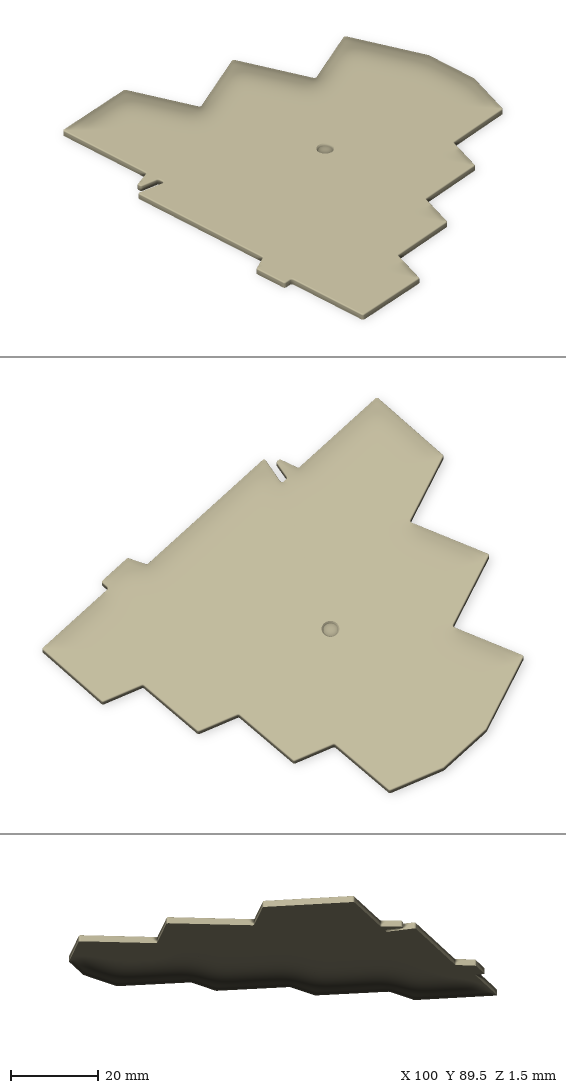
import cadquery as cq
import math

length = 100.0
width = 89.5
thickness = 1.5
corner_radius = 0.5
rim_radius = 0.3

slope = math.radians(20)

right_shoulder_y = 22.0
step_count = 3
step_pitch_x = 29.9 / step_count
step_pitch_y = 62.8 / step_count
riser_lean = 0.3

left_shoulder_y = 33.2
left_treads = (18.7, 20.4)
left_risers = (20.1, 18.0)

left_base_y = 11.7
catch_start_x = 25.6
catch_tip_x = 27.6
catch_tip_y = 7.0
catch_tip_width = 1.2
catch_end_x = 29.3
slot_end_x = 31.1
foot_start_x = 29.3
foot_y = 4.4
tab_start_x = 67.6
tab_left_x = 69.5
tab_right_x = 78.2
right_base_y = 2.4

recess_x = length / 2
recess_y = 46.0
recess_top_diameter = 4.1
recess_floor_diameter = 3.3
recess_depth = 0.5


def left_stairs():
    """Corners of the left staircase, from the left shoulder up to the flat top edge."""
    x, y = 0.0, left_shoulder_y
    corners = [(x, y)]
    for tread, riser in zip(left_treads, left_risers):
        x += tread * math.cos(slope)
        y += tread * math.sin(slope)
        corners.append((x, y))
        x -= riser * math.sin(slope)
        y += riser * math.cos(slope)
        corners.append((x, y))
    corners.append((x + (width - y) / math.tan(slope), width))
    return corners


def right_stairs():
    """Corners of the right staircase, from the flat top edge down to the right shoulder."""
    x = length - step_count * step_pitch_x
    y = right_shoulder_y + step_count * step_pitch_y
    corners = [(x - (width - y) / math.tan(slope), width), (x, y)]
    for _ in range(step_count):
        inner_x = x + riser_lean
        x += step_pitch_x
        y -= step_pitch_y
        inner_y = y + (x - inner_x) * math.tan(slope)
        corners += [(inner_x, inner_y), (x, y)]
    return corners


def bottom_edge():
    """Corners of the bottom edge, from the right end back to the left end."""
    return [
        (length, right_base_y),
        (tab_right_x, right_base_y),
        (tab_right_x, 0),
        (tab_left_x, 0),
        (tab_start_x, foot_y),
        (foot_start_x, foot_y),
        (slot_end_x, left_base_y),
        (catch_end_x, left_base_y),
        (catch_tip_x + catch_tip_width / 2, catch_tip_y),
        (catch_tip_x - catch_tip_width / 2, catch_tip_y),
        (catch_start_x, left_base_y),
        (0, left_base_y),
    ]


def plate():
    """Flat plate with rounded corners and a rounded top rim."""
    outline = left_stairs() + right_stairs() + bottom_edge()
    body = cq.Workplane("XY").polyline(outline).close().extrude(thickness)
    body = body.edges("|Z").fillet(corner_radius)
    return body.faces(">Z").edges().fillet(rim_radius)


def recess():
    """Shallow cone that narrows from the top face down to a flat floor."""
    return (
        cq.Workplane("XY", origin=(recess_x, recess_y, thickness))
        .circle(recess_top_diameter / 2)
        .workplane(offset=-recess_depth)
        .circle(recess_floor_diameter / 2)
        .loft()
    )


result = plate().cut(recess())